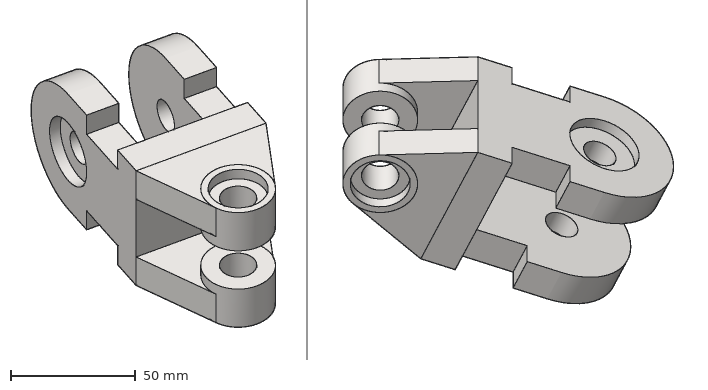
import cadquery as cq
import math

total_length = 130.0
width = 60.0
height = width

lug_radius = height / 2
plate_thickness = 15.0
block_length = 15.0
block_end_x = 55.0
block_start_x = block_end_x - block_length
notch_start_x = 15.0
notch_depth = 10.0
fork_hole_diameter = 14.0
fork_recess_diameter = 30.0

boss_diameter = 30.0
boss_radius = boss_diameter / 2
boss_height = 20.0
boss_hole_diameter = 15.0
boss_recess_diameter = 24.0
boss_x = total_length - lug_radius - boss_radius

recess_depth = 5.0


def y_cylinder(diameter, start_y, length):
    """Cylinder on the fork pin axis, running from start_y toward +Y."""
    circle = cq.Workplane("XZ", origin=(0, start_y, 0)).circle(diameter / 2)
    return circle.extrude(-length)


def make_fork():
    """Rounded and notched side profile, opened between the lugs and bored."""
    half_height = height / 2
    neck_half_height = half_height - notch_depth
    fork = (
        cq.Workplane("XZ", origin=(0, width / 2, 0))
        .moveTo(0, half_height)
        .lineTo(notch_start_x, half_height)
        .lineTo(notch_start_x, neck_half_height)
        .lineTo(block_start_x, neck_half_height)
        .lineTo(block_start_x, half_height)
        .lineTo(block_end_x, half_height)
        .lineTo(block_end_x, -half_height)
        .lineTo(block_start_x, -half_height)
        .lineTo(block_start_x, -neck_half_height)
        .lineTo(notch_start_x, -neck_half_height)
        .lineTo(notch_start_x, -half_height)
        .lineTo(0, -half_height)
        .threePointArc((-lug_radius, 0), (0, half_height))
        .close()
        .extrude(width)
    )

    gap_length = lug_radius + block_start_x
    gap = cq.Workplane("XY").box(gap_length, width - 2 * plate_thickness, height)
    fork = fork.cut(gap.translate((block_start_x - gap_length / 2, 0, 0)))

    fork = fork.cut(y_cylinder(fork_hole_diameter, -width / 2, width))
    for recess_y in (-width / 2, width / 2 - recess_depth):
        fork = fork.cut(y_cylinder(fork_recess_diameter, recess_y, recess_depth))
    return fork


def make_arm():
    """Upper arm, tapering along tangents to the boss and fitted around it."""
    run = boss_x - block_end_x
    corner_y = width / 2
    slope = math.atan2(corner_y, run) - math.asin(boss_radius / math.hypot(run, corner_y))
    tangent_x = boss_x + boss_radius * math.sin(slope)
    tangent_y = boss_radius * math.cos(slope)
    return (
        cq.Workplane("XY", origin=(0, 0, height / 2))
        .moveTo(block_end_x, corner_y)
        .lineTo(tangent_x, tangent_y)
        .threePointArc((boss_x - boss_radius, 0), (tangent_x, -tangent_y))
        .lineTo(block_end_x, -corner_y)
        .close()
        .extrude(-plate_thickness)
    )


def make_boss():
    """Upper hinge boss with a through hole recessed on its outer face."""
    return (
        cq.Workplane("XY", origin=(boss_x, 0, height / 2 - boss_height))
        .circle(boss_radius)
        .extrude(boss_height)
        .faces(">Z")
        .workplane()
        .cboreHole(boss_hole_diameter, boss_recess_diameter, recess_depth)
    )


fork = make_fork()

arms = []
bosses = []
for turn_angle in (0, 180):
    arms.append(make_arm().rotate((0, 0, 0), (1, 0, 0), turn_angle))
    bosses.append(make_boss().rotate((0, 0, 0), (1, 0, 0), turn_angle))

result = cq.Compound.makeCompound(
    [fork.val()] + [arm.val() for arm in arms] + [boss.val() for boss in bosses]
)